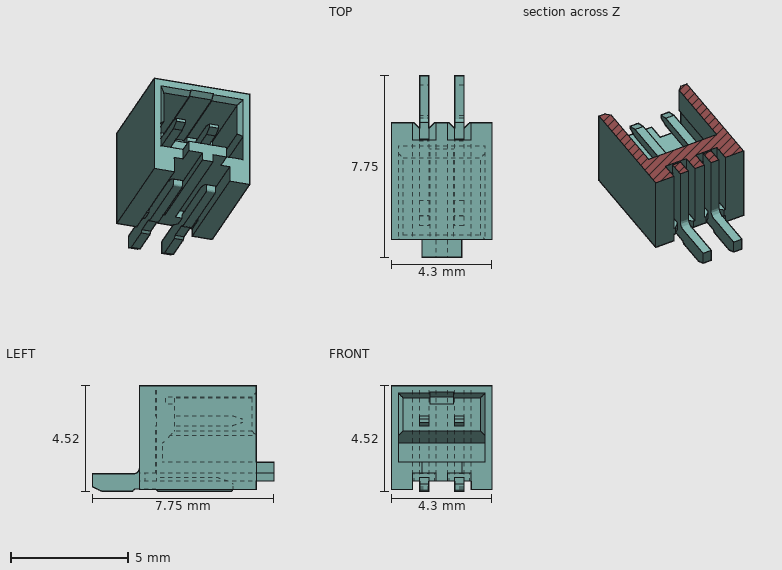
import cadquery as cq
import math

EPS = 0.08

total_length = 7.75
body_width = 4.3
body_length = 5.0
total_height = 4.52
foot_drop = 0.08
body_height = total_height - foot_drop

channel_width = 2.495
channel_top = 0.36
rib_width = 0.48
pocket_top = 0.705
tongue_width = 1.705
tongue_length = 0.75

cavity_width = 3.705
cavity_floor = 1.17
cavity_top = 4.115
lead_in = 0.2
lead_in_angle = 45.0
ledge_z = 2.3
upper_width = cavity_width - 2 * lead_in
upper_floor = ledge_z + lead_in
upper_top = cavity_top - lead_in
upper_depth = 3.49
lower_wall_top = 1.985
lower_depth = upper_depth + upper_floor - lower_wall_top

latch_width = 1.01
latch_mouth_top = 4.16
latch_top = latch_mouth_top - lead_in
latch_bottom = 3.64
latch_sink = 0.39
latch_depth = upper_depth + latch_sink

slot_depth = 0.745
slot_front = body_length - slot_depth
slot_width = (channel_width - rib_width) / 2
slot_offset = (channel_width + rib_width) / 4
vee_size = 0.24

pitch = 1.495
pin_width = 0.4
blade_mid = 2.94
blade_height = 0.43
blade_tip_y = 0.6
blade_tip_height = 0.14
blade_taper = 0.435
leg_gap = 0.05
leg_front = slot_front + leg_gap
foot_front = 1.01
foot_top = 0.52
foot_steep_z = 0.35
foot_nose_z = 0.24
foot_steep_length = 0.17
foot_slope_length = 0.5
neck_overhang = 0.19
neck_rear = body_length + neck_overhang
neck_z = 0.02
neck_rise = neck_z + foot_drop
tail_end = total_length - tongue_length
tail_top = 0.68
tail_bend = 0.24
tail_chamfer_length = 0.4
tail_chamfer_z = 0.12


def block(width, y_range, z_range, x_mid=0.0):
    """Box of the given width in X, spanning the given Y and Z ranges."""
    y0, y1 = y_range
    z0, z1 = z_range
    box = cq.Workplane("XY").box(width, y1 - y0, z1 - z0, centered=(True, False, False))
    return box.translate((x_mid, y0, z0))


def side_profile(points, width):
    """Closed Y-Z outline extruded symmetrically about x = 0."""
    return cq.Workplane("YZ").polyline(points).close().extrude(width / 2, both=True)


def mating_cavity():
    """Wide lower bay and narrower upper bay, joined by sloped ledges and a sloped back wall."""
    half_wide = cavity_width / 2
    half_upper = upper_width / 2
    section = [
        (-half_wide, cavity_floor),
        (half_wide, cavity_floor),
        (half_wide, ledge_z),
        (half_upper, upper_floor),
        (half_upper, upper_top),
        (-half_upper, upper_top),
        (-half_upper, upper_floor),
        (-half_wide, ledge_z),
    ]
    bays = cq.Workplane("XZ").workplane(offset=EPS).polyline(section).close().extrude(-lower_depth - EPS)
    depth_limit = side_profile(
        [
            (-EPS, cavity_floor),
            (lower_depth, cavity_floor),
            (lower_depth, lower_wall_top),
            (upper_depth, upper_floor),
            (upper_depth, cavity_top),
            (-EPS, cavity_top),
        ],
        body_width,
    )
    funnel = (
        cq.Workplane("XZ")
        .center(0, (ledge_z + cavity_top) / 2)
        .rect(cavity_width, cavity_top - ledge_z)
        .extrude(-lead_in, taper=lead_in_angle)
    )
    return bays.intersect(depth_limit).union(funnel)


def latch_recess():
    """Groove along the cavity roof, flared at the mouth and sunk into the back wall."""
    return side_profile(
        [
            (0, latch_bottom),
            (latch_depth, latch_bottom),
            (latch_depth, latch_top),
            (lead_in, latch_top),
            (0, latch_mouth_top),
        ],
        latch_width,
    )


def rear_slot(side):
    """Slot behind one contact, with a vee lead-in through the floor behind the contact leg."""
    y_range = (slot_front, body_length + EPS)
    z_range = (pocket_top, body_height + EPS)
    slot = block(slot_width, y_range, z_range, side * slot_offset)
    half_pin = pin_width / 2
    half_mouth = half_pin + vee_size
    vee = (
        cq.Workplane("XY")
        .polyline(
            [
                (-half_pin, body_length - vee_size),
                (half_pin, body_length - vee_size),
                (half_mouth, body_length),
                (-half_mouth, body_length),
            ]
        )
        .close()
        .extrude(pocket_top)
        .translate((side * pitch / 2, 0, 0))
    )
    return slot.union(vee)


def housing():
    """Body with channel, cavity, contact pockets and slots, plus the front tongue on its rib."""
    body = block(body_width, (0, body_length), (0, body_height))
    body = body.cut(block(channel_width, (-EPS, body_length + EPS), (-EPS, channel_top)))
    body = body.cut(mating_cavity()).cut(latch_recess())
    for side in (-1, 1):
        body = body.cut(block(slot_width, (-EPS, slot_front), (channel_top, pocket_top), side * slot_offset))
        body = body.cut(rear_slot(side))
    tongue = block(tongue_width, (-tongue_length, 0), (pocket_top, cavity_floor))
    rib = block(rib_width, (-tongue_length, 0), (channel_top, pocket_top))
    return body.union(tongue).union(rib)


def contact():
    """Stamped contact: blade in the cavity, tall leg, foot under the housing and rear solder tail."""
    blade_top = blade_mid + blade_height / 2
    blade_bottom = blade_mid - blade_height / 2
    tip_top = blade_mid + blade_tip_height / 2
    tip_bottom = blade_mid - blade_tip_height / 2
    slope_start = foot_front + foot_steep_length
    arc_reach = neck_rise * math.sqrt(0.5)
    bend_reach = tail_bend * (1 - math.sqrt(0.5))
    foot_bottom = -foot_drop
    return (
        cq.Workplane("YZ")
        .moveTo(leg_front, body_height)
        .lineTo(leg_front, blade_top)
        .lineTo(blade_tip_y + blade_taper, blade_top)
        .lineTo(blade_tip_y, tip_top)
        .lineTo(blade_tip_y, tip_bottom)
        .lineTo(blade_tip_y + blade_taper, blade_bottom)
        .lineTo(leg_front, blade_bottom)
        .lineTo(leg_front, foot_top)
        .lineTo(slope_start + foot_slope_length, foot_top)
        .lineTo(slope_start, foot_steep_z)
        .lineTo(foot_front, foot_nose_z)
        .lineTo(foot_front, neck_z)
        .threePointArc(
            (foot_front + neck_rise - arc_reach, neck_z - arc_reach),
            (foot_front + neck_rise, foot_bottom),
        )
        .lineTo(leg_front - neck_rise, foot_bottom)
        .lineTo(leg_front, neck_z)
        .lineTo(neck_rear, neck_z)
        .lineTo(neck_rear + neck_rise, foot_bottom)
        .lineTo(tail_end - tail_chamfer_length, foot_bottom)
        .lineTo(tail_end, tail_chamfer_z)
        .lineTo(tail_end, tail_top)
        .lineTo(body_length + tail_bend, tail_top)
        .threePointArc(
            (body_length + bend_reach, tail_top + bend_reach),
            (body_length, tail_top + tail_bend),
        )
        .lineTo(body_length, body_height)
        .close()
        .extrude(pin_width / 2, both=True)
    )


result = housing()
for side in (-1, 1):
    result = result.union(contact().translate((side * pitch / 2, 0, 0)))